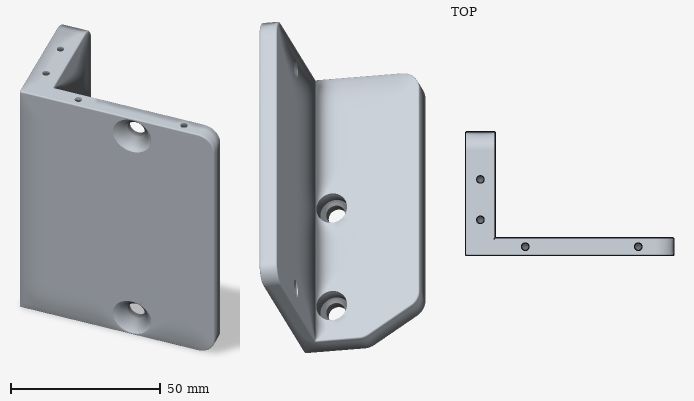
import cadquery as cq
import math

width = 69.77
depth = 41.5
height = 94.0
plate_thickness = 6.0
leg_thickness = 10.0

corner_radius = 6.0
edge_radius = 0.5
slant_run = 19.0
slant_rise = 12.0

plate_hole_diameter = 6.1
countersink_diameter = 13.7
countersink_angle = 90.0
plate_hole_x = 40.35
plate_hole_edge_distance = 7.5
plate_hole_z = (plate_hole_edge_distance, height - plate_hole_edge_distance)

leg_hole_diameter = 6.5
counterbore_diameter = 10.5
counterbore_depth = 6.2
leg_hole_y = 11.5
leg_hole_lower_z = 12.5
leg_hole_spacing = 35.0
leg_hole_z = (leg_hole_lower_z, leg_hole_lower_z + leg_hole_spacing)

drill_diameter = 2.5
drill_depth = 10.0
drill_tip_angle = 118.0
plate_drill_x = (20.0, 57.8)
leg_drill_y = (12.0, 25.5)


def make_plate():
    """Wide plate with its two free corners rounded."""
    plate = cq.Workplane("XY").box(width, plate_thickness, height, centered=False)
    return plate.edges("|Y and >X").fillet(corner_radius)


def make_leg():
    """Narrow leg with a rounded top corner and a slanted, rounded bottom corner."""
    outline = [
        (0, 0),
        (depth - slant_run, 0),
        (depth, slant_rise),
        (depth, height),
        (0, height),
    ]
    leg = cq.Workplane("YZ").polyline(outline).close().extrude(leg_thickness)
    return leg.edges("|X").edges("not <Y").fillet(corner_radius)


def round_wall_faces(body):
    """Round the rims of the outer and inner wall faces, leaving the inner corner sharp."""
    inner_corner = cq.selectors.NearestToPointSelector((leg_thickness, plate_thickness, height / 2))
    outer_faces = body.faces("<X or <Y")
    leg_inner_face = body.faces(cq.selectors.NearestToPointSelector((leg_thickness, depth / 2, height / 2)))
    plate_inner_face = body.faces(cq.selectors.NearestToPointSelector((width / 2, plate_thickness, height / 2)))
    wall_faces = outer_faces.add(leg_inner_face).add(plate_inner_face)
    return wall_faces.edges(cq.selectors.InverseSelector(inner_corner)).fillet(edge_radius)


def cut_plate_holes(body):
    """Countersunk holes near the top and bottom of the plate."""
    outer_face = cq.Workplane("XZ")
    for z in plate_hole_z:
        body = body.copyWorkplane(outer_face).center(plate_hole_x, z).cskHole(
            plate_hole_diameter, countersink_diameter, countersink_angle, plate_thickness
        )
    return body


def cut_leg_holes(body):
    """Through holes in the lower half of the leg, counterbored from the inner face."""
    inner_face = cq.Workplane("YZ", origin=(leg_thickness, 0, 0))
    for z in leg_hole_z:
        body = body.copyWorkplane(inner_face).center(leg_hole_y, z).cboreHole(
            leg_hole_diameter, counterbore_diameter, counterbore_depth, leg_thickness
        )
    return body


def make_drill(x, y):
    """Solid of a drilled hole with a conical bottom, hanging down from the top face."""
    radius = drill_diameter / 2
    tip_height = radius / math.tan(math.radians(drill_tip_angle / 2))
    profile = [
        (0, 0),
        (radius, 0),
        (radius, -drill_depth),
        (0, -drill_depth - tip_height),
    ]
    drill = cq.Workplane("XZ").polyline(profile).close().revolve(360, (0, 0), (0, 1))
    return drill.translate((x, y, height))


def cut_top_holes(body):
    """Two blind holes in the top of the plate and two in the top of the leg."""
    for x in plate_drill_x:
        body = body.cut(make_drill(x, plate_thickness / 2))
    for y in leg_drill_y:
        body = body.cut(make_drill(leg_thickness / 2, y))
    return body


bracket = make_plate().union(make_leg())
bracket = round_wall_faces(bracket)
bracket = cut_plate_holes(bracket)
bracket = cut_leg_holes(bracket)
result = cut_top_holes(bracket)